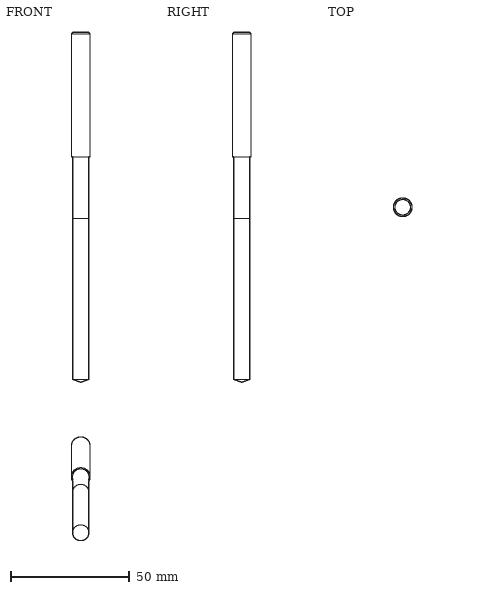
import cadquery as cq
import math

total_length = 148.2
shank_diameter = 8.0
shank_length = 52.8
shank_chamfer = 0.7
drill_diameter = 7.0
cutting_length = 69.4
point_angle = 140.0

shank_radius = shank_diameter / 2
drill_radius = drill_diameter / 2
shoulder_height = total_length - shank_length
neck_length = shoulder_height - cutting_length
point_height = drill_radius / math.tan(math.radians(point_angle / 2))


def make_cutting_part():
    """Lower cylinder ending in a conical point at the origin."""
    half_profile = (
        cq.Workplane("XZ")
        .moveTo(0, 0)
        .lineTo(drill_radius, point_height)
        .lineTo(drill_radius, cutting_length)
        .lineTo(0, cutting_length)
        .close()
    )
    return half_profile.revolve(360, (0, 0, 0), (0, 1, 0))


def make_holder():
    """Neck and wider shank in one body, with a chamfered top rim."""
    neck = cq.Workplane("XY", origin=(0, 0, cutting_length)).circle(drill_radius).extrude(neck_length)
    shank = (
        cq.Workplane("XY", origin=(0, 0, shoulder_height))
        .circle(shank_radius)
        .extrude(shank_length)
        .faces(">Z")
        .chamfer(shank_chamfer)
    )
    return neck.union(shank)


cutting_part = make_cutting_part()
holder = make_holder()

result = cq.Compound.makeCompound([cutting_part.val(), holder.val()])